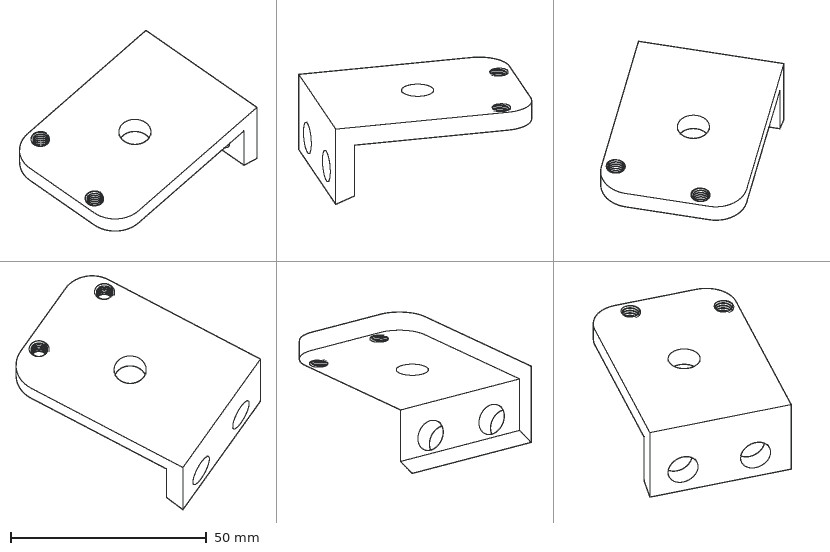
import cadquery as cq
import math

width = 38.0
length = 53.5
height = 20.8
thickness = 5.0
corner_radius = 8.0
lip_angle = 20.0

plate_hole_diameter = 8.2
plate_hole_x = 1.05
plate_hole_y = length / 2
flange_hole_diameter = 8.0
flange_hole_positions_x = (-9.4, 10.05)
flange_hole_depth_below_top = 14.0

thread_minor_diameter = 4.2
thread_major_diameter = 5.15
thread_pitch = 0.8
groove_mouth = 0.65
groove_root = 0.15
cutter_overlap = 0.05
threaded_hole_centers = ((-15.3, 9.1), (7.95, 3.75))

plate_bottom = height - thickness


def make_bracket():
    """L-shaped side profile extruded across the width, with the front corners rounded."""
    lip_rise = thickness * math.tan(math.radians(lip_angle))
    flange_front = length - thickness
    profile = [
        (0, height),
        (length, height),
        (length, 0),
        (flange_front, lip_rise),
        (flange_front, plate_bottom),
        (0, plate_bottom),
    ]
    body = cq.Workplane("YZ").polyline(profile).close().extrude(width / 2, both=True)
    return body.edges("|Z and <Y").fillet(corner_radius)


def make_vertical_bore(x, y, diameter):
    """Cylinder that passes through the plate."""
    return (
        cq.Workplane("XY", origin=(x, y, plate_bottom))
        .circle(diameter / 2)
        .extrude(thickness)
    )


def make_flange_bore(x):
    """Cylinder along Y that passes through the flange."""
    return (
        cq.Workplane("XZ", origin=(x, length, height - flange_hole_depth_below_top))
        .circle(flange_hole_diameter / 2)
        .extrude(thickness)
    )


def make_thread_groove(x, y):
    """Right-hand helical groove, deepest towards -Y at the top face of the plate."""
    minor_radius = thread_minor_diameter / 2
    major_radius = thread_major_diameter / 2
    inner_radius = minor_radius - cutter_overlap
    flank_slope = (groove_mouth - groove_root) / (major_radius - minor_radius)
    inner_width = groove_mouth + flank_slope * cutter_overlap
    turns_below_top = math.ceil(thickness / thread_pitch) + 1
    turns = turns_below_top + 1
    helix = cq.Wire.makeHelix(thread_pitch, turns * thread_pitch, inner_radius)
    groove = (
        cq.Workplane("XZ")
        .polyline([
            (inner_radius, -inner_width / 2),
            (major_radius, -groove_root / 2),
            (major_radius, groove_root / 2),
            (inner_radius, inner_width / 2),
        ])
        .close()
        .sweep(cq.Workplane(obj=helix), isFrenet=True)
    )
    groove = groove.rotate((0, 0, 0), (0, 0, 1), -90)
    return groove.translate((x, y, height - turns_below_top * thread_pitch))


result = make_bracket()
result = result.cut(make_vertical_bore(plate_hole_x, plate_hole_y, plate_hole_diameter))

for hole_x in flange_hole_positions_x:
    result = result.cut(make_flange_bore(hole_x))

for hole_x, hole_y in threaded_hole_centers:
    result = result.cut(make_thread_groove(hole_x, hole_y))
    result = result.cut(make_vertical_bore(hole_x, hole_y, thread_minor_diameter))